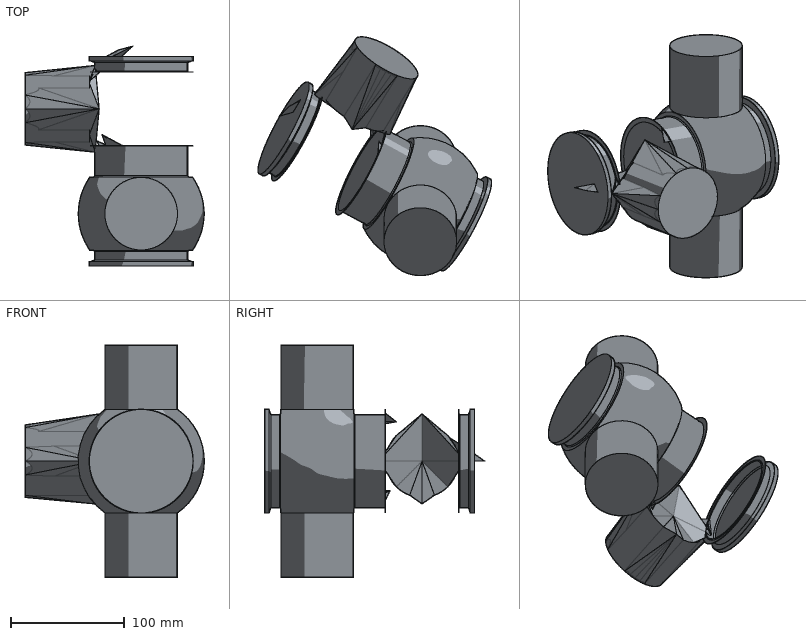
import math

import cadquery as cq


ball_radius = 55.55
pipe_radius = 31.9
pipe_reach = 101.98
port_pitch = 92.1

seat_radius = 45.3
neck_radius = 41.0
flange_radius = 45.75
flange_face = 46.1
flange_thickness = 3.9
flange_taper = 1.5
root_width = 0.7
root_length = 1.2
seat_plate = 0.4
cup_wall = 0.8

seat_distance = math.sqrt(ball_radius**2 - seat_radius**2)
pipe_mouth = math.sqrt(ball_radius**2 - pipe_radius**2)

top_flare = (90, 41.6, 45)
rear_flare = (0, 38.2, 45)
front_flare = (180, 38.2, 45)
bottom_flare = (270, 37.6, 20)
flare_steps = 4

rear_sliver_tip_x = -7.4
rear_sliver_bend_x = -20.0
rear_sliver_base_x = (-30.5, -17.0)
rear_sliver_ridge = (-25.0, 6.4)

seat_slivers = [
    (135, 48.8, 22.5, 111.5, 133.5),
    (213.3, 46.8, 28.0, 214.8, 229.5),
]
sliver_depth = 4.0

bridge_foot = (-35.8, 32.5, 15.5)
bridge_foot_angle = 40


def polyhedron(faces):
    """Solid bounded by flat faces, each given as a list of corner points."""
    wires = [cq.Wire.makePolygon([cq.Vector(*point) for point in face], close=True) for face in faces]
    shell = cq.Shell.makeShell([cq.Face.makeFromWires(wire) for wire in wires])
    solid = cq.Solid.makeSolid(shell)
    return cq.Workplane(obj=solid.fix())


def tetrahedron(a, b, c, d):
    return polyhedron([[a, b, c], [a, b, d], [b, c, d], [a, c, d]])


def y_cylinder(radius, start, end):
    return cq.Workplane("XZ", origin=(0, start, 0)).circle(radius).extrude(start - end)


def front_ball():
    """Ball with flats at both necks and both pipe mouths."""
    flats = cq.Workplane("XY").box(2 * ball_radius, 2 * seat_distance, 2 * pipe_mouth)
    return cq.Workplane("XY").sphere(ball_radius).intersect(flats)


def vertical_pipes():
    return cq.Workplane("XY", origin=(0, 0, -pipe_reach)).circle(pipe_radius).extrude(2 * pipe_reach)


def flanged_neck():
    """Neck and flange around Y, running in +Y from the seat of a ball centred on the origin."""
    taper_start = flange_face - flange_thickness
    return (
        cq.Workplane("XY")
        .moveTo(0, seat_distance)
        .lineTo(neck_radius + root_width, seat_distance)
        .lineTo(neck_radius, seat_distance + root_length)
        .lineTo(neck_radius, taper_start - flange_taper)
        .lineTo(seat_radius, taper_start)
        .lineTo(flange_radius, taper_start)
        .lineTo(flange_radius, flange_face)
        .lineTo(0, flange_face)
        .close()
        .revolve(360, (0, 0, 0), (0, 1, 0))
    )


def front_flange():
    return flanged_neck().mirror("XZ")


def rear_flange():
    """Rear flange with a thin seat ring, hollow towards the missing ball."""
    ring = y_cylinder(seat_radius, seat_distance, seat_distance + seat_plate)
    hollow = y_cylinder(neck_radius - cup_wall, seat_distance, flange_face - flange_thickness)
    return flanged_neck().union(ring).cut(hollow).translate((0, port_pitch, 0))


def middle_neck():
    """Neck from the front ball to the seat ring of the rear ball."""
    ring_face = port_pitch - seat_distance
    root = (
        cq.Workplane("XZ", origin=(0, seat_distance, 0))
        .circle(neck_radius + root_width)
        .workplane(offset=-root_length)
        .circle(neck_radius)
        .loft()
    )
    neck = y_cylinder(neck_radius, seat_distance, ring_face)
    ring = y_cylinder(seat_radius, ring_face - seat_plate, ring_face)
    return neck.union(root).union(ring)


def side_point(x, angle, radius):
    """Point around the axis of the side pipe; angle 0 is +Y and 90 is +Z."""
    turn = math.radians(angle)
    return (x, port_pitch + radius * math.cos(turn), radius * math.sin(turn))


def flare_tip(flare):
    """Tip of a flare, on the surface of the rear ball."""
    angle, tip_radius, _ = flare
    return side_point(-math.sqrt(ball_radius**2 - tip_radius**2), angle, tip_radius)


def pipe_flare(flare):
    """Faceted sector from the outer rim of the side pipe to one tip."""
    angle, _, spread = flare
    tip = flare_tip(flare)
    cap_centre = side_point(-pipe_reach, 0, 0)
    mouth_centre = side_point(-pipe_mouth, 0, 0)
    angles = [angle - spread + 2 * spread * i / flare_steps for i in range(flare_steps + 1)]
    rim = [side_point(-pipe_reach, a, pipe_radius) for a in angles]
    first_valley = side_point(-pipe_mouth, angles[0], pipe_radius)
    last_valley = side_point(-pipe_mouth, angles[-1], pipe_radius)
    faces = [[tip, a, b] for a, b in zip(rim, rim[1:])]
    faces += [
        [tip, rim[0], first_valley],
        [tip, rim[-1], last_valley],
        [tip, first_valley, mouth_centre],
        [tip, last_valley, mouth_centre],
        [cap_centre, rim[0], first_valley, mouth_centre],
        [cap_centre, rim[-1], last_valley, mouth_centre],
        [cap_centre] + rim,
    ]
    return polyhedron(faces)


def flare_web(flare, valley_angle):
    """Web between the top tip and a neighbouring tip, behind the valley they share."""
    valley = side_point(-pipe_mouth, valley_angle, pipe_radius)
    mouth_centre = side_point(-pipe_mouth, 0, 0)
    return tetrahedron(flare_tip(top_flare), flare_tip(flare), valley, mouth_centre)


def side_pipe():
    pipe = (
        cq.Workplane("YZ", origin=(-pipe_reach, port_pitch, 0))
        .circle(pipe_radius)
        .extrude(pipe_reach - pipe_mouth)
    )
    for flare in (top_flare, rear_flare, front_flare, bottom_flare):
        pipe = pipe.union(pipe_flare(flare))
    for flare in (rear_flare, front_flare):
        pipe = pipe.union(flare_web(flare, (top_flare[0] + flare[0]) / 2))
    return pipe


def rear_sliver():
    """Sliver of the rear ball's equator that passes through the rear flange."""
    face_y = port_pitch + flange_face

    def on_equator(x):
        return (x, port_pitch + math.sqrt(ball_radius**2 - x**2), 0)

    tip = on_equator(rear_sliver_tip_x)
    bend = on_equator(rear_sliver_bend_x)
    outer, inner = [(x, face_y, 0) for x in rear_sliver_base_x]
    ridge = (rear_sliver_ridge[0], face_y, rear_sliver_ridge[1])
    return polyhedron(
        [
            [outer, bend, tip, inner],
            [outer, inner, ridge],
            [outer, bend, ridge],
            [bend, tip, ridge],
            [tip, inner, ridge],
        ]
    )


def seat_sliver(tip_angle, tip_radius, tip_distance, first_angle, last_angle):
    """Pointed sliver standing on the seat ring of the middle neck."""

    def around_y(angle, radius, y):
        turn = math.radians(angle)
        return (radius * math.cos(turn), y, radius * math.sin(turn))

    base_y = port_pitch - seat_distance
    return tetrahedron(
        around_y(tip_angle, tip_radius, port_pitch - tip_distance),
        around_y(first_angle, seat_radius, base_y),
        around_y(last_angle, seat_radius, base_y),
        around_y((first_angle + last_angle) / 2, seat_radius - sliver_depth, base_y),
    )


def bridge_sliver():
    foot = (bridge_foot[0], port_pitch + bridge_foot[1], bridge_foot[2])
    corner = side_point(-pipe_mouth, bridge_foot_angle, pipe_radius)
    return tetrahedron(foot, corner, flare_tip(rear_flare), side_point(-pipe_mouth, 0, pipe_radius))


body = front_ball().union(vertical_pipes()).union(front_flange()).union(middle_neck())
body = body.union(rear_flange()).union(side_pipe()).union(rear_sliver()).union(bridge_sliver())
for sliver in seat_slivers:
    body = body.union(seat_sliver(*sliver))
result = body